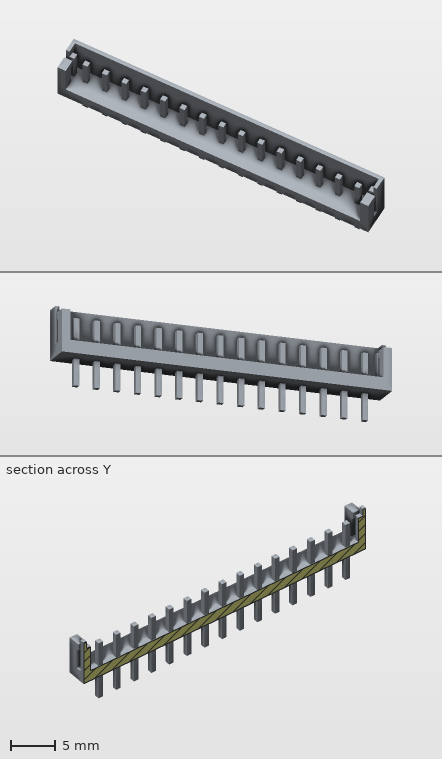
import cadquery as cq


pin_count = 15
pitch = 2.5
pin_size = 0.64
pin_top = 4.8
tail_length = 3.2

end_margin = 2.5
housing_length = (pin_count - 1) * pitch + 2 * end_margin
housing_depth = 3.8
housing_height = 6.0
back_y = 1.6
front_y = back_y - housing_depth
floor_thickness = 1.5
back_wall_thickness = 0.5

end_wall_thickness = 0.45
end_wall_depth = 1.8
rib_depth = 0.7
rib_top = 5.0
end_block_width = 1.05

post_top = 5.1
lip_height = 0.9
lip_gap = 0.4
slot_width = 0.7

end_wall_front_y = back_y - end_wall_depth


def block(x_range, y_range, z_range):
    """Box spanning the given (low, high) ranges."""
    size = [high - low for low, high in (x_range, y_range, z_range)]
    corner = (x_range[0], y_range[0], z_range[0])
    return cq.Workplane("XY").box(*size, centered=False).translate(corner)


def make_base_and_back_wall():
    """Floor slab with the tall wall along its back edge."""
    x_range = (-housing_length / 2, housing_length / 2)
    floor = block(x_range, (front_y, back_y), (0, floor_thickness))
    wall = block(x_range, (back_y - back_wall_thickness, back_y), (0, housing_height))
    return floor.union(wall)


def make_left_end():
    """End wall, inner rib and lipped corner post at the -X end."""
    outer_x = -housing_length / 2
    block_x = (outer_x, outer_x + end_block_width)
    wall_x = (outer_x, outer_x + end_wall_thickness)
    wall = block(wall_x, (end_wall_front_y, back_y), (0, housing_height))
    rib_y = (end_wall_front_y, end_wall_front_y + rib_depth)
    rib = block(block_x, rib_y, (0, rib_top))
    post = block(block_x, (front_y, end_wall_front_y - slot_width), (0, post_top))
    lip_y = (front_y, end_wall_front_y - lip_gap)
    lip = block(block_x, lip_y, (post_top - lip_height, post_top))
    return wall.union(rib).union(post).union(lip)


def make_pin(x):
    """Square pin passing through the floor."""
    half = pin_size / 2
    return block((x - half, x + half), (-half, half), (-tail_length, pin_top))


left_end = make_left_end()
result = make_base_and_back_wall().union(left_end).union(left_end.mirror("YZ"))

first_pin_x = -(pin_count - 1) * pitch / 2
for index in range(pin_count):
    result = result.union(make_pin(first_pin_x + index * pitch))